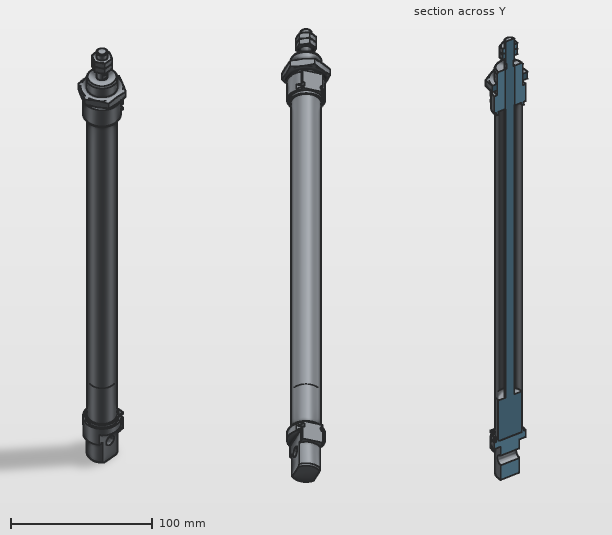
import cadquery as cq
import math

TOTAL_HEIGHT = 382.0

ROD_DIAMETER = 8.0
ROD_TIP_DIAMETER = 6.5
ROD_THREAD_LENGTH = 20.0
ROD_FLATS_WIDTH = 6.0
PISTON_LENGTH = 35.5

ROD_NUT_COUNT = 2
ROD_NUT_WIDTH = 13.0
ROD_NUT_HEIGHT = 5.0
ROD_NUT_SETBACK = 5.5

NOSE_SETBACK = 24.0
NOSE_TOP = TOTAL_HEIGHT - NOSE_SETBACK
NOSE_DIAMETER = 22.0
NOSE_TIP_DIAMETER = 20.2
END_CHAMFER_HEIGHT = 1.5
MOUNT_NUT_WIDTH = 30.0
MOUNT_NUT_HEIGHT = 6.0
MOUNT_NUT_SETBACK = 34.0
MOUNT_NUT_TOP = TOTAL_HEIGHT - MOUNT_NUT_SETBACK

NUT_CHAMFER_ANGLE = 17.0
NUT_FACE_RATIO = 0.99

COVER_DIAMETER = 27.0
COVER_LENGTH = 15.3
FRONT_COVER_SETBACK = 44.0
FRONT_COVER_TOP = TOTAL_HEIGHT - FRONT_COVER_SETBACK
FRONT_COVER_BOTTOM = FRONT_COVER_TOP - COVER_LENGTH
REAR_COVER_BOTTOM = 20.0
REAR_COVER_TOP = REAR_COVER_BOTTOM + COVER_LENGTH
COLLAR_DIAMETER = 24.0
COLLAR_LENGTH = 2.3
TUBE_DIAMETER = 21.5
BORE_DIAMETER = 20.0

PAD_WIDTH = 15.3
GROOVE_DIAMETER = 3.5
GROOVE_LENGTH = 5.0
GROOVE_OFFSET = 3.4

LUG_THICKNESS = 16.0
LUG_FLATS_TOP = 29.0
LUG_HOLE_HEIGHT = 17.0
LUG_HOLE_DIAMETER = ROD_DIAMETER


def cylinder(diameter, bottom, top):
    """Upright cylinder on the Z axis."""
    return cq.Workplane("XY").workplane(offset=bottom).circle(diameter / 2).extrude(top - bottom)


def slab(thickness, bottom, top):
    """Block centred on the axis, thin along X and wider than the part along Y."""
    base = cq.Workplane("XY").workplane(offset=bottom)
    return base.rect(thickness, 2 * COVER_DIAMETER).extrude(top - bottom)


def stepped_shell():
    """Outside of the housing, turned around the Z axis."""
    nose, tip = NOSE_DIAMETER / 2, NOSE_TIP_DIAMETER / 2
    cover, collar, tube = COVER_DIAMETER / 2, COLLAR_DIAMETER / 2, TUBE_DIAMETER / 2
    outline = [
        (0, 0),
        (tip, 0),
        (nose, END_CHAMFER_HEIGHT),
        (nose, REAR_COVER_BOTTOM),
        (cover, REAR_COVER_BOTTOM),
        (cover, REAR_COVER_TOP),
        (collar, REAR_COVER_TOP),
        (collar, REAR_COVER_TOP + COLLAR_LENGTH),
        (tube, REAR_COVER_TOP + COLLAR_LENGTH),
        (tube, FRONT_COVER_BOTTOM - COLLAR_LENGTH),
        (collar, FRONT_COVER_BOTTOM - COLLAR_LENGTH),
        (collar, FRONT_COVER_BOTTOM),
        (cover, FRONT_COVER_BOTTOM),
        (cover, FRONT_COVER_TOP),
        (nose, FRONT_COVER_TOP),
        (nose, NOSE_TOP - END_CHAMFER_HEIGHT),
        (tip, NOSE_TOP),
        (0, NOSE_TOP),
    ]
    return cq.Workplane("XZ").polyline(outline).close().revolve(360, (0, 0, 0), (0, 1, 0))


def port_pad(bottom):
    """Flat-faced pad that reaches the cover radius on the +Y side."""
    reach = COVER_DIAMETER / 2
    return (
        cq.Workplane("XY")
        .workplane(offset=bottom)
        .center(0, reach / 2)
        .rect(PAD_WIDTH, reach)
        .extrude(COVER_LENGTH)
    )


def clip_grooves(height):
    """Round-bottomed grooves along Y, open outwards through both side faces of a port pad."""
    groove_centre = PAD_WIDTH / 2 + GROOVE_DIAMETER / 2
    return (
        cq.Workplane("XZ", origin=(0, COVER_DIAMETER / 2, height))
        .pushPoints([(-groove_centre, 0), (groove_centre, 0)])
        .slot2D(2 * GROOVE_DIAMETER, GROOVE_DIAMETER)
        .extrude(GROOVE_LENGTH)
    )


def lug_flats():
    """Material removed from both X sides of the rear lug and the foot of the rear cover."""
    surround = cylinder(2 * COVER_DIAMETER, 0, LUG_FLATS_TOP)
    return surround.cut(slab(LUG_THICKNESS, 0, LUG_FLATS_TOP))


def lug_hole():
    """Pivot hole through the rear lug, along X."""
    return (
        cq.Workplane("YZ")
        .center(0, LUG_HOLE_HEIGHT)
        .circle(LUG_HOLE_DIAMETER / 2)
        .extrude(COVER_DIAMETER, both=True)
    )


def make_housing():
    """Tube with both covers, bored for the piston and its rod."""
    housing = stepped_shell()
    for pad_bottom in (REAR_COVER_BOTTOM, FRONT_COVER_BOTTOM):
        housing = housing.union(port_pad(pad_bottom))
    for groove_height in (REAR_COVER_TOP - GROOVE_OFFSET, FRONT_COVER_BOTTOM + GROOVE_OFFSET):
        housing = housing.cut(clip_grooves(groove_height))
    housing = housing.cut(lug_flats()).cut(lug_hole())
    housing = housing.cut(cylinder(BORE_DIAMETER, REAR_COVER_TOP, FRONT_COVER_BOTTOM))
    return housing.cut(cylinder(ROD_DIAMETER, FRONT_COVER_BOTTOM, NOSE_TOP))


def make_piston_rod():
    """Rod and piston in one piece, with wrench flats between the thread and the nose."""
    piston = cylinder(BORE_DIAMETER, REAR_COVER_TOP, REAR_COVER_TOP + PISTON_LENGTH)
    tip_chamfer = (ROD_DIAMETER - ROD_TIP_DIAMETER) / 2
    rod = cylinder(ROD_DIAMETER, REAR_COVER_TOP, TOTAL_HEIGHT).faces(">Z").chamfer(tip_chamfer)
    rod = rod.union(piston)
    flats_top = TOTAL_HEIGHT - ROD_THREAD_LENGTH
    surround = cylinder(2 * ROD_DIAMETER, NOSE_TOP, flats_top)
    return rod.cut(surround.cut(slab(ROD_FLATS_WIDTH, NOSE_TOP, flats_top)))


def hex_nut(width, height, hole_diameter):
    """Hexagon nut standing on Z = 0, flats facing +X and -X, corners chamfered at both ends."""
    corner_radius = width / math.sqrt(3)
    face_radius = NUT_FACE_RATIO * width / 2
    chamfer_drop = (corner_radius - face_radius) * math.tan(math.radians(NUT_CHAMFER_ANGLE))
    prism = cq.Workplane("XY").polygon(6, 2 * corner_radius).extrude(height)
    prism = prism.rotate((0, 0, 0), (0, 0, 1), 90)
    envelope = (
        cq.Workplane("XZ")
        .polyline(
            [
                (0, 0),
                (face_radius, 0),
                (corner_radius, chamfer_drop),
                (corner_radius, height - chamfer_drop),
                (face_radius, height),
                (0, height),
            ]
        )
        .close()
        .revolve(360, (0, 0, 0), (0, 1, 0))
    )
    return prism.intersect(envelope).cut(cylinder(hole_diameter, 0, height))


def make_mount_nut():
    """Nut on the nose."""
    nut = hex_nut(MOUNT_NUT_WIDTH, MOUNT_NUT_HEIGHT, NOSE_DIAMETER)
    return nut.translate((0, 0, MOUNT_NUT_TOP - MOUNT_NUT_HEIGHT))


def make_rod_nut(top):
    """Nut on the rod thread, with its upper face at the given height."""
    nut = hex_nut(ROD_NUT_WIDTH, ROD_NUT_HEIGHT, ROD_DIAMETER)
    return nut.translate((0, 0, top - ROD_NUT_HEIGHT))


housing = make_housing()
piston_rod = make_piston_rod()
mount_nut = make_mount_nut()
upper_nut_top = TOTAL_HEIGHT - ROD_NUT_SETBACK
rod_nuts = [make_rod_nut(upper_nut_top - index * ROD_NUT_HEIGHT) for index in range(ROD_NUT_COUNT)]

result = cq.Compound.makeCompound(
    [housing.val(), piston_rod.val(), mount_nut.val(), *[nut.val() for nut in rod_nuts]]
)